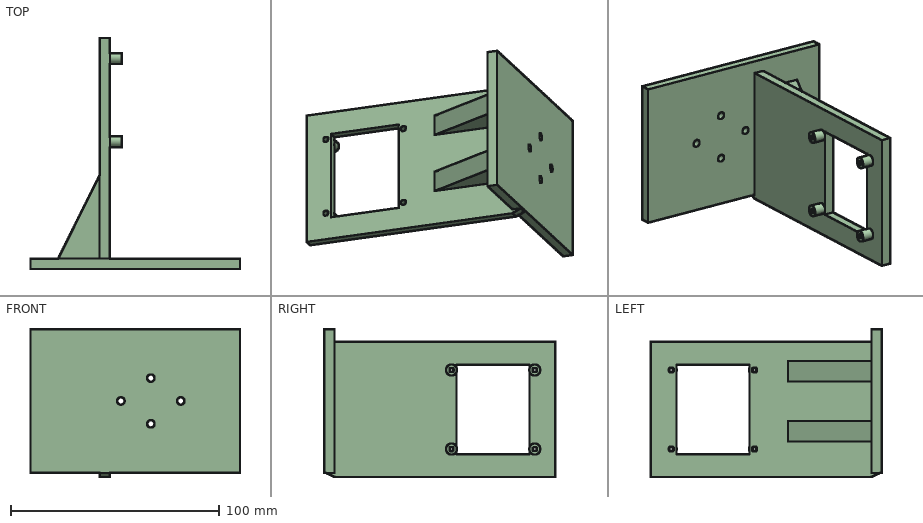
import cadquery as cq

FACE_WIDTH = 100.7
TOTAL_LENGTH = 111.0
TOTAL_HEIGHT = 71.0
THICKNESS = 5.0

ARM_X = 33.2
ARM_HEIGHT = 65.0
ARM_DROP = 2.0
TAIL_REACH = 4.3
ARM_RIGHT = ARM_X + THICKNESS

WINDOW_LENGTH = 35.0
WINDOW_HEIGHT = 42.8
WINDOW_Y = 81.0
WINDOW_Z = 32.4

STANDOFF_DIAMETER = 5.3
STANDOFF_LENGTH = 5.8
ARM_BORE_DIAMETER = 2.5
STANDOFF_BORE_DIAMETER = 1.9
STANDOFF_PITCH_Y = 40.0
STANDOFF_PITCH_Z = 38.0
STANDOFF_Y = 81.1
STANDOFF_Z = 32.4

GUSSET_WIDTH = 20.0
GUSSET_LENGTH = 40.1
GUSSET_THICKNESS = 10.0
GUSSET_BOTTOMS = (17.0, 45.8)

MOUNT_DIAMETER = 3.4
MOUNT_PITCH_X = 28.7
MOUNT_PITCH_Z = 22.0
MOUNT_X = 57.8
MOUNT_Z = 36.5


def make_face_plate():
    plate_height = TOTAL_HEIGHT - ARM_DROP
    plate = cq.Workplane("XY").box(FACE_WIDTH, THICKNESS, plate_height, centered=False)
    plate = plate.translate((0, 0, ARM_DROP))
    half_x = MOUNT_PITCH_X / 2
    half_z = MOUNT_PITCH_Z / 2
    corners = [
        (MOUNT_X - half_x, MOUNT_Z),
        (MOUNT_X + half_x, MOUNT_Z),
        (MOUNT_X, MOUNT_Z - half_z),
        (MOUNT_X, MOUNT_Z + half_z),
    ]
    holes = cq.Workplane("XZ").pushPoints(corners).circle(MOUNT_DIAMETER / 2).extrude(-THICKNESS)
    return plate.cut(holes)


def standoff_positions():
    half_y = STANDOFF_PITCH_Y / 2
    half_z = STANDOFF_PITCH_Z / 2
    return [
        (STANDOFF_Y + side_y * half_y, STANDOFF_Z + side_z * half_z)
        for side_y in (-1, 1)
        for side_z in (-1, 1)
    ]


def make_arm():
    outline = [
        (TOTAL_LENGTH, 0),
        (TOTAL_LENGTH, ARM_HEIGHT),
        (THICKNESS, ARM_HEIGHT),
        (THICKNESS, ARM_DROP),
        (THICKNESS - TAIL_REACH, ARM_DROP),
        (THICKNESS, 0),
    ]
    arm_face = cq.Workplane("YZ", origin=(ARM_X, 0, 0))
    arm = arm_face.polyline(outline).close().extrude(THICKNESS)
    window = arm_face.center(WINDOW_Y, WINDOW_Z).rect(WINDOW_LENGTH, WINDOW_HEIGHT).extrude(THICKNESS)
    bores = arm_face.pushPoints(standoff_positions()).circle(ARM_BORE_DIAMETER / 2).extrude(THICKNESS)
    return arm.cut(window).cut(bores)


def make_gusset(bottom):
    return (
        cq.Workplane("XY", origin=(ARM_X, THICKNESS, bottom))
        .polyline([(0, 0), (-GUSSET_WIDTH, 0), (0, GUSSET_LENGTH)])
        .close()
        .extrude(GUSSET_THICKNESS)
    )


def make_bracket():
    bracket = make_face_plate().union(make_arm())
    for bottom in GUSSET_BOTTOMS:
        bracket = bracket.union(make_gusset(bottom))
    return bracket


def make_standoff(y, z):
    return (
        cq.Workplane("YZ", origin=(ARM_RIGHT, y, z))
        .circle(STANDOFF_DIAMETER / 2)
        .circle(STANDOFF_BORE_DIAMETER / 2)
        .extrude(STANDOFF_LENGTH)
    )


bracket = make_bracket()
standoffs = [make_standoff(y, z) for y, z in standoff_positions()]

result = cq.Compound.makeCompound([bracket.val(), *[standoff.val() for standoff in standoffs]])